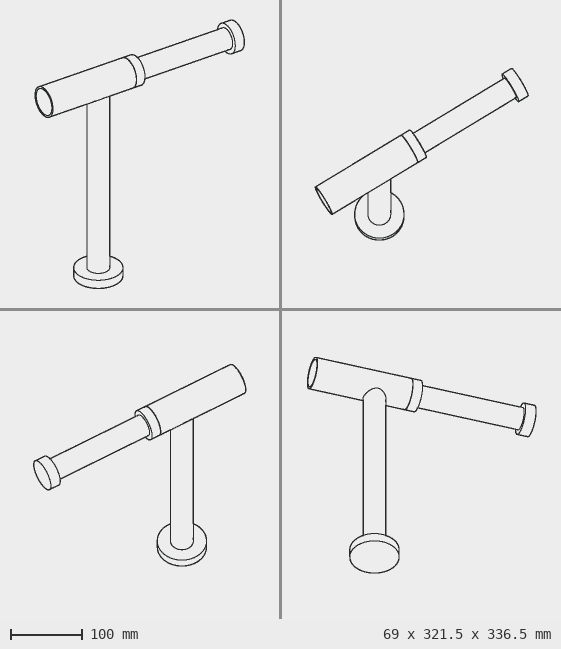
import cadquery as cq

total_height = 336.5
total_length = 321.5

pipe_diameter = 32.0
body_diameter = 45.0
end_recess_diameter = 39.5
base_diameter = 69.0

body_length = 154.5
groove_position = 140.3
groove_width = 0.5
groove_depth = 0.5
cap_length = 15.5
post_to_front = 91.2

base_thickness = 13.5
end_recess_depth = 0.17

axis_height = total_height - body_diameter / 2
front_y = -post_to_front
back_y = front_y + total_length


def rod_along_y(diameter, start_y, length):
    """Round bar on the horizontal axis, running toward +Y."""
    plane = cq.Plane(origin=(0, start_y, axis_height), xDir=(1, 0, 0), normal=(0, 1, 0))
    return cq.Workplane(plane).circle(diameter / 2).extrude(length)


base = cq.Workplane("XY").circle(base_diameter / 2).extrude(base_thickness)
post = cq.Workplane("XY").circle(pipe_diameter / 2).extrude(axis_height)

body = rod_along_y(body_diameter, front_y, body_length)
pipe = rod_along_y(pipe_diameter, front_y + body_length, total_length - body_length)
cap = rod_along_y(body_diameter, back_y - cap_length, cap_length)

end_recess = rod_along_y(end_recess_diameter, front_y, end_recess_depth)
groove_y = front_y + groove_position - groove_width / 2
groove = rod_along_y(body_diameter, groove_y, groove_width).cut(
    rod_along_y(body_diameter - 2 * groove_depth, groove_y, groove_width)
)

result = base.union(post).union(body).union(pipe).union(cap).cut(end_recess).cut(groove)